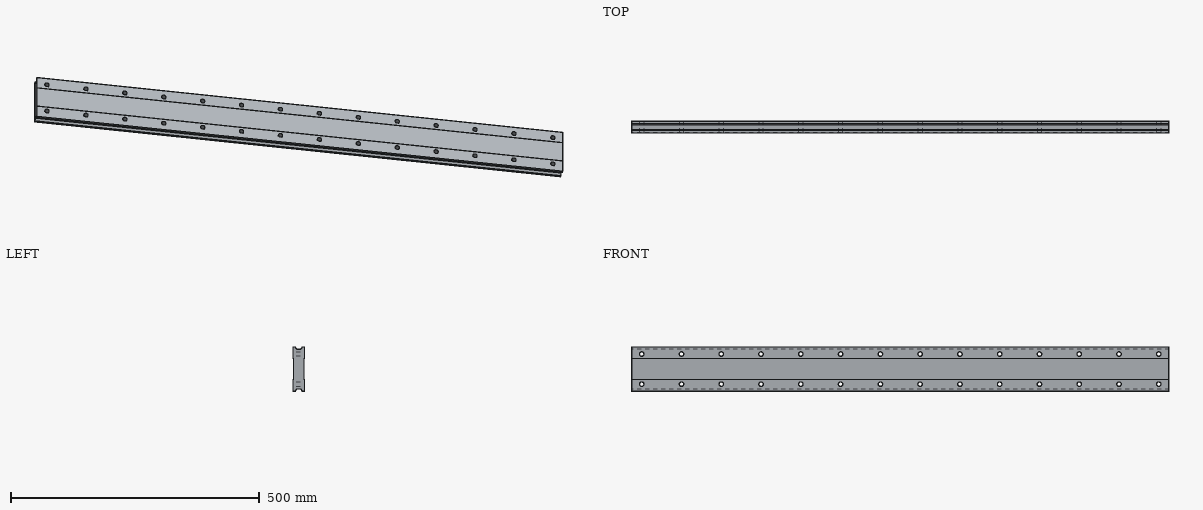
import cadquery as cq

length = 1080.0
thickness = 24.0
height = 90.0

groove_mouth = 14.0
groove_floor = 8.9
groove_depth = 4.5

band_height = 42.0
band_recess = 1.0

hole_diameter = 9.0
holes_per_row = 14
end_distance = 20.0
row_spacing = 60.0
hole_pitch = (length - 2 * end_distance) / (holes_per_row - 1)


def make_edge_groove(side):
    """Cutter for the groove in the top edge (side = 1) or bottom edge (side = -1)."""
    edge_z = side * height / 2
    floor_z = edge_z - side * groove_depth
    outline = [
        (-groove_mouth / 2, edge_z),
        (-groove_floor / 2, floor_z),
        (groove_floor / 2, floor_z),
        (groove_mouth / 2, edge_z),
    ]
    return cq.Workplane("YZ").polyline(outline).close().extrude(length / 2, both=True)


def make_face_band(side):
    """Cutter for the band in the rear face (side = 1) or front face (side = -1)."""
    band_y = side * (thickness - band_recess) / 2
    return cq.Workplane("XY").box(length, band_recess, band_height).translate((0, band_y, 0))


def make_holes():
    """Cutter for both rows of holes through the thickness."""
    centers = cq.Workplane("XZ").rarray(hole_pitch, row_spacing, holes_per_row, 2)
    return centers.circle(hole_diameter / 2).extrude(thickness, both=True)


bar = cq.Workplane("XY").box(length, thickness, height)
for side in (1, -1):
    bar = bar.cut(make_edge_groove(side))
    bar = bar.cut(make_face_band(side))

result = bar.cut(make_holes())